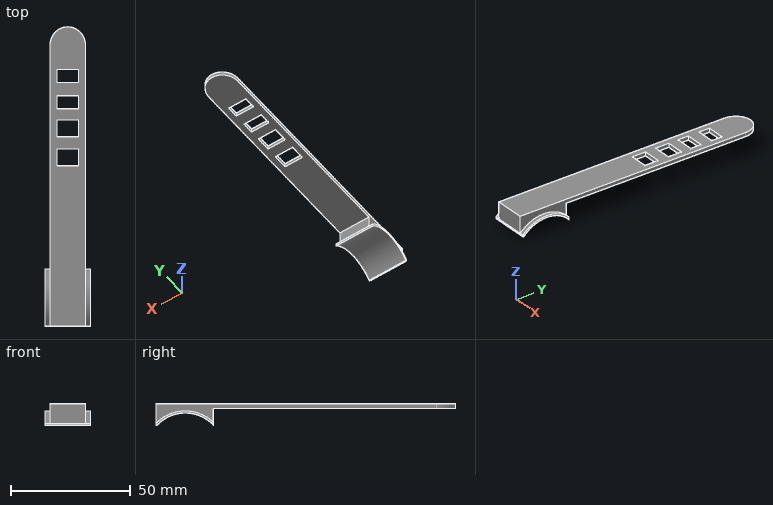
import cadquery as cq

strap_width = 15.0
strap_thickness = 2.0
strap_top_z = 9.0
strap_length = 124.98
strap_half_width = strap_width / 2
strap_bottom_z = strap_top_z - strap_thickness

tip_depth = 8.0

window_width = 8.8
short_window_length = 5.3
long_window_length = 6.8
windows = [
    (20.6, short_window_length),
    (31.5, short_window_length),
    (42.4, long_window_length),
    (54.5, long_window_length),
]

saddle_length = 24.0
pad_width = 19.0
pad_thickness = 0.9
pad_crown_z = 6.0
pad_outer_radius = 17.0
pad_inner_radius = pad_outer_radius - pad_thickness
pad_axis_y = 0.25
pad_axis_z = pad_crown_z - pad_outer_radius

front_y = -saddle_length / 2
tip_y = front_y + strap_length
tip_start_y = tip_y - tip_depth


def saddle_cylinder(radius):
    """Cylinder around the pad's axis, as wide as the pad and centred on X = 0."""
    return (
        cq.Workplane("YZ", origin=(-pad_width / 2, pad_axis_y, pad_axis_z))
        .circle(radius)
        .extrude(pad_width)
    )


def saddle_box(width):
    """Full-height box over the saddle length."""
    return cq.Workplane("XY").box(width, saddle_length, strap_top_z, centered=(True, True, False))


def make_bar():
    return (
        cq.Workplane("XY", origin=(0, 0, strap_bottom_z))
        .moveTo(-strap_half_width, front_y)
        .lineTo(strap_half_width, front_y)
        .lineTo(strap_half_width, tip_start_y)
        .ellipseArc(strap_half_width, tip_depth, 0, 180, startAtCurrent=True)
        .close()
        .extrude(strap_thickness)
    )


def make_window(from_tip, length):
    return (
        cq.Workplane("XY", origin=(0, tip_y - from_tip, strap_bottom_z))
        .rect(window_width, length)
        .extrude(strap_thickness)
    )


def make_strap():
    body = make_bar().union(saddle_box(strap_width))
    body = body.cut(saddle_cylinder(pad_outer_radius))
    for from_tip, length in windows:
        body = body.cut(make_window(from_tip, length))
    return body


def make_pad():
    """Curved shell that fills the hollow under the block, trimmed to the saddle."""
    shell = saddle_cylinder(pad_outer_radius).cut(saddle_cylinder(pad_inner_radius))
    return shell.intersect(saddle_box(pad_width))


strap = make_strap()
pad = make_pad()

result = cq.Compound.makeCompound([*strap.solids().vals(), *pad.solids().vals()])